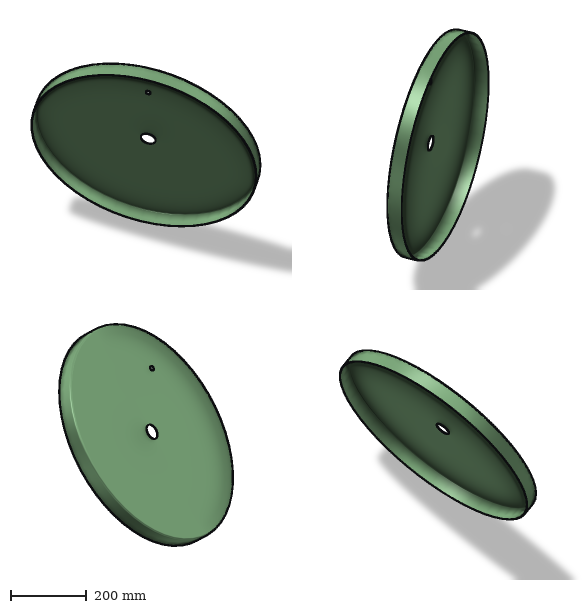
import cadquery as cq

outer_diameter = 620.0
depth = 43.0
wall = 2.5
inner_bend_radius = 3.0
outer_bend_radius = inner_bend_radius + wall

center_hole_diameter = 41.0
small_hole_diameter = 13.5
small_hole_offset = 200.0


def cylinder_along_y(diameter, height):
    """Cylinder from the open rim plane (Y = 0) towards +Y."""
    return cq.Workplane("XZ").circle(diameter / 2).extrude(-height)


blank = cylinder_along_y(outer_diameter, depth).faces(">Y").edges().fillet(outer_bend_radius)
cavity = cylinder_along_y(outer_diameter - 2 * wall, depth - wall)
cavity = cavity.faces(">Y").edges().fillet(inner_bend_radius)
pan = blank.cut(cavity)

center_hole = cylinder_along_y(center_hole_diameter, depth)
small_hole = cylinder_along_y(small_hole_diameter, depth).translate((0, 0, small_hole_offset))
pan = pan.cut(center_hole).cut(small_hole)

result = pan.translate((0, -depth / 2, 0))